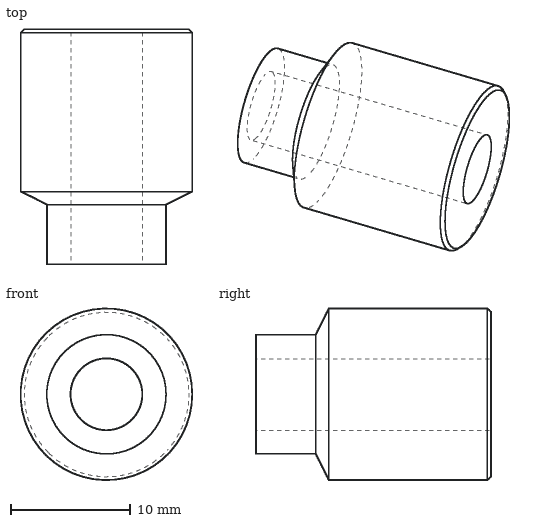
import cadquery as cq

total_length = 19.7
body_diameter = 14.4
neck_diameter = 10.0
bore_diameter = 6.0
neck_length = 5.0
shoulder_length = 1.1
rim_chamfer = 0.3

body_radius = body_diameter / 2
neck_radius = neck_diameter / 2
bore_radius = bore_diameter / 2

body_start = neck_length + shoulder_length
chamfer_start = total_length - rim_chamfer


def turned_sleeve():
    """Revolve the half section (radius along X, length along Y) about Y."""
    return (
        cq.Workplane("XY")
        .moveTo(bore_radius, 0)
        .lineTo(neck_radius, 0)
        .lineTo(neck_radius, neck_length)
        .lineTo(body_radius, body_start)
        .lineTo(body_radius, chamfer_start)
        .lineTo(body_radius - rim_chamfer, total_length)
        .lineTo(bore_radius, total_length)
        .close()
        .revolve(360, (0, 0, 0), (0, 1, 0))
    )


result = turned_sleeve()